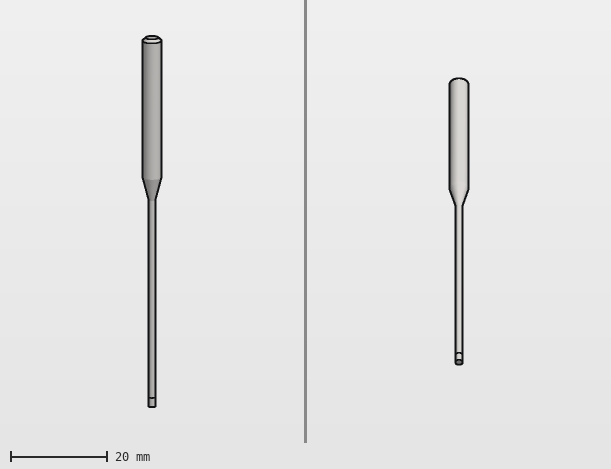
import cadquery as cq

total_length = 80.0
shank_bottom = 49.8
cone_bottom = 45.4
neck_top = 44.7
neck_bottom = 2.2
head_top = 2.0

shank_radius = 2.0
cone_end_radius = 0.9
neck_radius = 0.73
head_radius = 0.76

bevel_height = 0.6
bevel_width = 0.7


def make_holder():
    """Bevelled shank, tapering in two steps to a slender neck that flares to meet the head."""
    return (
        cq.Workplane("XZ")
        .moveTo(0, head_top)
        .lineTo(head_radius, head_top)
        .lineTo(neck_radius, neck_bottom)
        .lineTo(neck_radius, neck_top)
        .lineTo(cone_end_radius, cone_bottom)
        .lineTo(shank_radius, shank_bottom)
        .lineTo(shank_radius, total_length - bevel_height)
        .lineTo(shank_radius - bevel_width, total_length)
        .lineTo(0, total_length)
        .close()
        .revolve(360, (0, 0), (0, 1))
    )


def make_cutting_head():
    """Plain cylindrical cutting head, seated flat against the flared end of the neck."""
    return cq.Workplane("XY").circle(head_radius).extrude(head_top)


holder = make_holder()
cutting_head = make_cutting_head()

result = cq.Compound.makeCompound([holder.val(), cutting_head.val()])